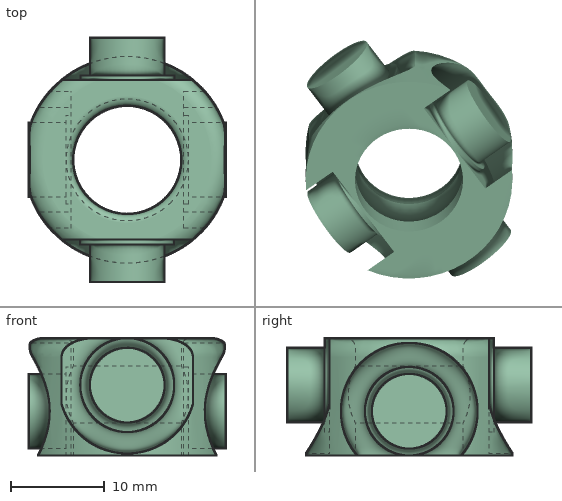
import cadquery as cq

height = 12.5
body_radius = 11.0
top_round = 2.0
bore_radius = 5.75
bore_round = 1.0

seat_radius = 6.5
seat_center_z = 6.5

pin_radius = 3.98
recess_radius = 7.28
cut_reach = 15.6

long_pin_tip = 13.0
long_boss_radius = 10.0 / 2
long_boss_face = 9.0
long_recess_floor = 8.5
long_pin_z = height - long_boss_radius

short_pin_tip = 21.0 / 2
short_boss_radius = 9.45 / 2
short_boss_face = 6.5
short_recess_floor = 6.0
short_pin_z = short_boss_radius


def rod(radius, start, end, z):
    """Cylinder along +Y at height z, from y = start to y = end."""
    return cq.Workplane("XZ", origin=(0, start, z)).circle(radius).extrude(start - end)


def both_sides(shape, angle):
    """A +Y feature turned about Z, together with its opposite copy."""
    turned = shape.rotate((0, 0, 0), (0, 0, 1), angle)
    return turned.union(turned.rotate((0, 0, 0), (0, 0, 1), 180))


def pin(floor, face, tip, boss_radius, z):
    """Stepped pin standing on a recess floor."""
    return rod(boss_radius, floor, face, z).union(rod(pin_radius, floor, tip, z))


body = cq.Workplane("XY").circle(body_radius).extrude(height).faces(">Z").edges().fillet(top_round)

long_recess = rod(recess_radius, long_recess_floor, cut_reach, long_pin_z).union(
    cq.Workplane("XY", origin=(0, long_recess_floor, long_pin_z))
    .box(2 * recess_radius, cut_reach - long_recess_floor, height, centered=(True, False, False))
)
short_recess = rod(recess_radius, short_recess_floor, cut_reach, short_pin_z)
body = body.cut(both_sides(long_recess, 0)).cut(both_sides(short_recess, 90))

long_pin = pin(long_recess_floor, long_boss_face, long_pin_tip, long_boss_radius, long_pin_z)
short_pin = pin(short_recess_floor, short_boss_face, short_pin_tip, short_boss_radius, short_pin_z)
body = body.union(both_sides(long_pin, 0)).union(both_sides(short_pin, 90))

bore = cq.Workplane("XY").circle(bore_radius).extrude(height)
mouth_radius = bore_radius + bore_round
mouth = (
    cq.Workplane("XZ")
    .moveTo(0, height)
    .lineTo(mouth_radius, height)
    .radiusArc((bore_radius, height - bore_round), -bore_round)
    .lineTo(0, height - bore_round)
    .close()
    .revolve(360, (0, 0, 0), (0, 1, 0))
)
seat = cq.Workplane("XY").sphere(seat_radius).translate((0, 0, seat_center_z))
result = body.cut(bore).cut(mouth).cut(seat)